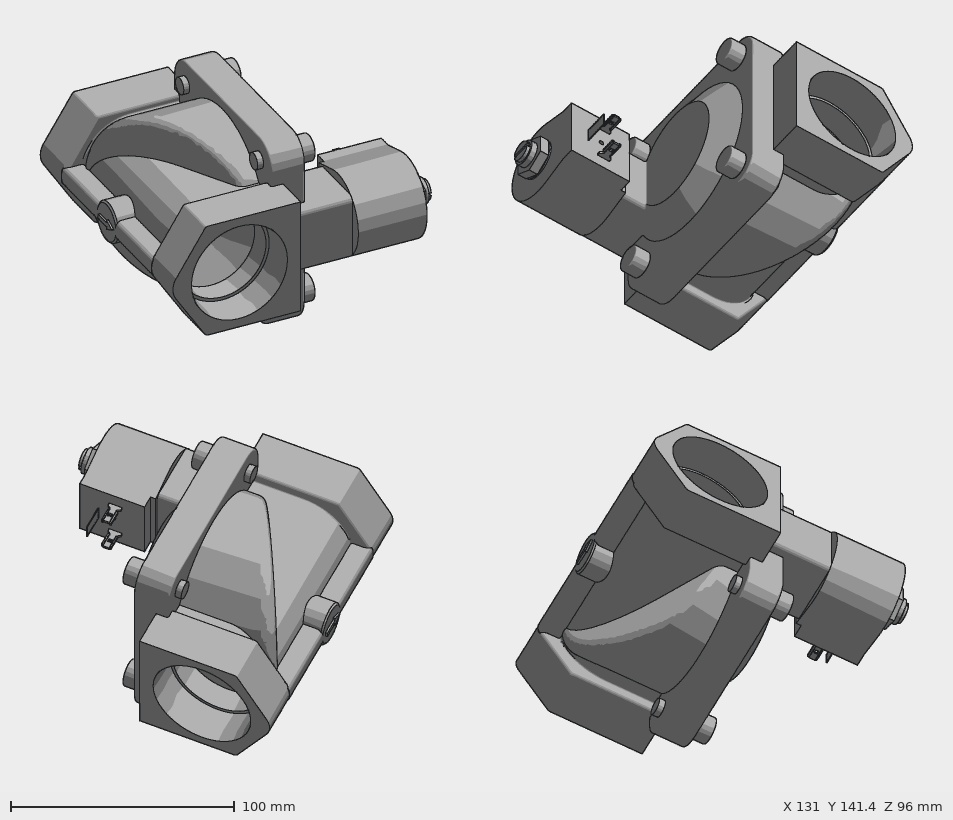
import cadquery as cq
import math


margin = 0.1

length = 131.0
block_inner_x = 42.4
block_half_z = 28.4
block_top_y = 30.7
block_shoulder_y = -16.8
block_tip_y = -33.4
tip_radius = 9.9
tip_slope = math.radians(57)
shoulder_round = 2.1
block_round = 2.1
pipe_radius = 24.0
neck_round = 0.8

thread_mouth_radius = 24.0
thread_end_radius = 23.5
bore_radius = 21.9
thread_depth = 17.0
bore_depth = 28.3
drill_half_angle = math.radians(59)

body_radius = 43.3
base_slope = math.radians(28.5)
base_center_y = -4.0
base_round = 5.0

rib_half_z = 5.0
rib_round = 3.0
boss_radius = 10.0
boss_chamfer = 0.8
arrow_face_y = -34.4
arrow_center_x = 0.4
arrow_half_length = 6.8
arrow_head_length = 5.4
arrow_head_half_width = 2.4
arrow_shaft_half_width = 1.1

flange_bottom_y = 24.7
flange_top_y = 41.7
flange_width = 96.1
flange_depth = 96.0
flange_corner = 12.0
flange_round = 1.0
bolt_spacing = 73.0
bolt_radius = 4.1
bolt_end_y = 21.8
head_radius = 6.5
head_top_y = 49.6
head_round = 0.7
cover_base_radius = 39.6
cover_top_radius = 26.0
cover_top_y = 50.3

pillar_center_x = 37.9
pillar_side = 32.1
pillar_corner = 3.1
pillar_foot_round = 0.8

coil_x = 39.2
coil_radius = 20.4
coil_bottom_y = 62.6
coil_top_y = 97.1
coil_flat_x = 20.5
coil_round_start_x = 33.5
plate_x = 14.1
plate_bottom_y = 65.2
plate_half_z = 16.0
screw_hole_radius = 1.1
screw_hole_y = 80.6
screw_hole_depth = 4.2
washer_radius = 9.6
washer_top_y = 97.8
nut_corner_diameter = 20.0
nut_top_y = 102.4
stem_radius = 6.2
stem_top_y = 105.3
tip_pin_radius = 5.0
tip_pin_top_y = 107.0
slot_width = 1.4

earth_end_x = 2.1
earth_y = 88.0
earth_thickness = 0.4
earth_width = 6.8
blade_end_x = 4.1
blade_y = 79.5
blade_z = 9.2
blade_thickness = 1.1
blade_half_width = 1.5
blade_root_half_width = 3.3
blade_root_length = 1.3
blade_taper_length = 1.1
blade_hole_x = 8.2
blade_hole_side = 1.5
curl_end_x = 11.3
curl_width = 0.8


def upright(radius, bottom_y, top_y, x=0, z=0):
    """Cylinder along Y."""
    plane = cq.Workplane("XZ", origin=(x, bottom_y, z))
    return plane.circle(radius).extrude(bottom_y - top_y)


def block_at(x_range, y_range, z_range):
    """Box spanning the given ranges."""
    corner = (x_range[0], y_range[0], z_range[0])
    sizes = [r[1] - r[0] for r in (x_range, y_range, z_range)]
    return cq.Workplane("XY", origin=corner).box(*sizes, centered=False)


def end_block():
    """Pentagonal block with a rounded tip, at the -X end."""
    tangent_y = block_tip_y + tip_radius * (1 - math.sin(tip_slope))
    tangent_z = tip_radius * math.cos(tip_slope)
    half_length = length / 2
    block = (
        cq.Workplane("YZ", origin=(-half_length, 0, 0))
        .moveTo(block_top_y, -block_half_z)
        .lineTo(block_shoulder_y, -block_half_z)
        .lineTo(tangent_y, -tangent_z)
        .threePointArc((block_tip_y, 0), (tangent_y, tangent_z))
        .lineTo(block_shoulder_y, block_half_z)
        .lineTo(block_top_y, block_half_z)
        .close()
        .extrude(half_length - block_inner_x)
    )
    shoulders = cq.selectors.BoxSelector(
        (-half_length, block_shoulder_y - margin, -block_half_z - margin),
        (-block_inner_x, block_shoulder_y + margin, block_half_z + margin),
    )
    block = block.edges(shoulders).fillet(shoulder_round)
    return block.faces(">X").edges().fillet(block_round)


def pipe():
    """U-shaped neck between the end blocks."""
    return (
        cq.Workplane("YZ", origin=(-block_inner_x, 0, 0))
        .moveTo(flange_bottom_y, -pipe_radius)
        .lineTo(0, -pipe_radius)
        .threePointArc((-pipe_radius, 0), (0, pipe_radius))
        .lineTo(flange_bottom_y, pipe_radius)
        .close()
        .extrude(2 * block_inner_x)
    )


def body_shell():
    """Pipe joined to its two end blocks with a small round in each inner corner."""
    block = end_block()
    shell = pipe().union(block).union(block.mirror("YZ"))
    for side in (-1, 1):
        joint_x = side * block_inner_x
        joint = cq.selectors.BoxSelector(
            (joint_x - margin, -pipe_radius - margin, -pipe_radius - margin),
            (joint_x + margin, flange_bottom_y - margin, pipe_radius + margin),
        )
        shell = shell.edges(joint).fillet(neck_round)
    return shell


def port():
    """Tapered thread, bore and drill-point cone, cut in from the -X end."""
    mouth_x = -length / 2
    bore_x = mouth_x + bore_depth
    apex_x = bore_x + bore_radius / math.tan(drill_half_angle)
    return (
        cq.Workplane("XY")
        .moveTo(mouth_x, 0)
        .lineTo(mouth_x, thread_mouth_radius)
        .lineTo(mouth_x + thread_depth, thread_end_radius)
        .lineTo(mouth_x + thread_depth, bore_radius)
        .lineTo(bore_x, bore_radius)
        .lineTo(apex_x, 0)
        .close()
        .revolve(360, (0, 0, 0), (1, 0, 0))
    )


def round_body():
    """Cylinder whose sloping base is rounded along its elliptical edge."""
    reach = body_radius + margin
    rise = reach * math.tan(base_slope)
    low_y = base_center_y - rise
    body = upright(body_radius, low_y, flange_bottom_y)
    below_base = (
        cq.Workplane("XY")
        .polyline([(-reach, low_y), (reach, base_center_y + rise), (reach, low_y)])
        .close()
        .extrude(reach, both=True)
    )
    return body.cut(below_base).faces("<Y").edges().fillet(base_round)


def rib_and_boss():
    """Rib under the pipe, running into both end blocks, with a round boss in the middle."""
    rib_half_length = block_inner_x + block_round
    rib = block_at((-rib_half_length, rib_half_length), (block_tip_y, 0), (-rib_half_z, rib_half_z))
    rib = rib.faces("<Y").edges("|X").fillet(rib_round)
    boss = upright(boss_radius, block_tip_y, 0).faces("<Y").chamfer(boss_chamfer)
    return rib.union(boss)


def flow_arrow():
    """Raised arrow pointing along +X on the boss."""
    neck_x = arrow_half_length - arrow_head_length
    return (
        cq.Workplane("XZ", origin=(arrow_center_x, block_tip_y, 0))
        .moveTo(-arrow_half_length, -arrow_shaft_half_width)
        .lineTo(neck_x, -arrow_shaft_half_width)
        .lineTo(neck_x, -arrow_head_half_width)
        .lineTo(arrow_half_length, 0)
        .lineTo(neck_x, arrow_head_half_width)
        .lineTo(neck_x, arrow_shaft_half_width)
        .lineTo(-arrow_half_length, arrow_shaft_half_width)
        .close()
        .extrude(block_tip_y - arrow_face_y)
    )


def flange():
    """Square flange with rounded corners and edges."""
    half_x = flange_width / 2
    half_z = flange_depth / 2
    plate = block_at((-half_x, half_x), (flange_bottom_y, flange_top_y), (-half_z, half_z))
    plate = plate.edges("|Y").fillet(flange_corner)
    return plate.faces("<Y or >Y").edges().fillet(flange_round)


def bolt(x, z):
    """Cap screw through the flange."""
    shank = upright(bolt_radius, bolt_end_y, flange_top_y, x, z)
    head = upright(head_radius, flange_top_y, head_top_y, x, z)
    return shank.union(head.faces("<Y or >Y").edges().fillet(head_round))


def cover():
    """Conical cover on the flange."""
    return (
        cq.Workplane("XY")
        .moveTo(0, flange_top_y)
        .lineTo(cover_base_radius, flange_top_y)
        .lineTo(cover_top_radius, cover_top_y)
        .lineTo(0, cover_top_y)
        .close()
        .revolve(360, (0, 0, 0), (0, 1, 0))
    )


def pillar():
    """Square pillar from the end block up to the coil."""
    half = pillar_side / 2
    x_range = (pillar_center_x - half, pillar_center_x + half)
    return block_at(x_range, (block_top_y, coil_bottom_y), (-half, half)).edges("|Y").fillet(pillar_corner)


def lid():
    """Cover and pillar with a small round where they meet."""
    left_x = pillar_center_x - pillar_side / 2
    foot = cq.selectors.BoxSelector(
        (left_x - margin, flange_top_y + margin, -pillar_side),
        (cover_base_radius, cover_top_y + margin, pillar_side),
        boundingbox=True,
    )
    return cover().union(pillar()).edges(foot).fillet(pillar_foot_round)


def coil():
    """Coil with a round back, tapering to the connector plate."""
    round_start_z = math.sqrt(coil_radius**2 - (coil_x - coil_round_start_x) ** 2)
    shell = (
        cq.Workplane("XZ", origin=(0, coil_bottom_y, 0))
        .moveTo(coil_flat_x, -plate_half_z)
        .lineTo(coil_round_start_x, -round_start_z)
        .threePointArc((coil_x + coil_radius, 0), (coil_round_start_x, round_start_z))
        .lineTo(coil_flat_x, plate_half_z)
        .close()
        .extrude(coil_bottom_y - coil_top_y)
    )
    plate = block_at((plate_x, coil_flat_x), (plate_bottom_y, coil_top_y), (-plate_half_z, plate_half_z))
    hole_plane = cq.Workplane("YZ", origin=(plate_x, screw_hole_y, 0))
    screw_hole = hole_plane.circle(screw_hole_radius).extrude(screw_hole_depth)
    return shell.union(plate).cut(screw_hole)


def coil_nut():
    """Washer, nut and slotted stem on top of the coil."""
    washer = upright(washer_radius, coil_top_y, washer_top_y, coil_x)
    nut = (
        cq.Workplane("XZ", origin=(coil_x, washer_top_y, 0))
        .transformed(rotate=(0, 0, 90))
        .polygon(6, nut_corner_diameter)
        .extrude(washer_top_y - nut_top_y)
    )
    stem = upright(stem_radius, nut_top_y, stem_top_y, coil_x)
    pin = upright(tip_pin_radius, stem_top_y, tip_pin_top_y, coil_x)
    slot_x = (coil_x - tip_pin_radius, coil_x + tip_pin_radius)
    slot = block_at(slot_x, (stem_top_y, tip_pin_top_y), (-slot_width / 2, slot_width / 2))
    return washer.union(nut).union(stem).union(pin.cut(slot))


def earth_terminal():
    """Plain flat terminal."""
    half_y = earth_thickness / 2
    half_z = earth_width / 2
    return block_at((earth_end_x, plate_x), (earth_y - half_y, earth_y + half_y), (-half_z, half_z))


def spade_terminal():
    """Blade with a wide root, a hole and curled edges, on the +Z side."""
    root_x = plate_x - blade_root_length
    taper_x = root_x - blade_taper_length
    half_outline = [
        (blade_end_x, blade_half_width),
        (taper_x, blade_half_width),
        (root_x, blade_root_half_width),
        (plate_x, blade_root_half_width),
    ]
    outline = half_outline + [(x, -y) for x, y in reversed(half_outline)]
    low_z = blade_z - blade_thickness / 2
    blade_plane = cq.Workplane("XY", origin=(0, blade_y, low_z))
    terminal = blade_plane.polyline(outline).close().extrude(blade_thickness)
    hole = cq.Workplane("XY").box(blade_hole_side, blade_hole_side, blade_thickness)
    terminal = terminal.cut(hole.translate((blade_hole_x, blade_y, blade_z)))
    for side in (-1, 1):
        curl = cq.Workplane("XY").box(curl_end_x - blade_end_x, curl_width, blade_thickness)
        curl_x = (blade_end_x + curl_end_x) / 2
        curl_y = blade_y + side * (blade_half_width + curl_width / 2)
        terminal = terminal.union(curl.translate((curl_x, curl_y, low_z)))
    return terminal


result = body_shell().union(round_body()).union(rib_and_boss()).union(flow_arrow())
result = result.union(flange()).union(lid())
for bolt_x in (-bolt_spacing / 2, bolt_spacing / 2):
    for bolt_z in (-bolt_spacing / 2, bolt_spacing / 2):
        result = result.union(bolt(bolt_x, bolt_z))

result = result.union(coil()).union(coil_nut()).union(earth_terminal())
terminal = spade_terminal()
result = result.union(terminal).union(terminal.mirror("XY"))

inlet = port()
result = result.cut(inlet).cut(inlet.mirror("YZ"))